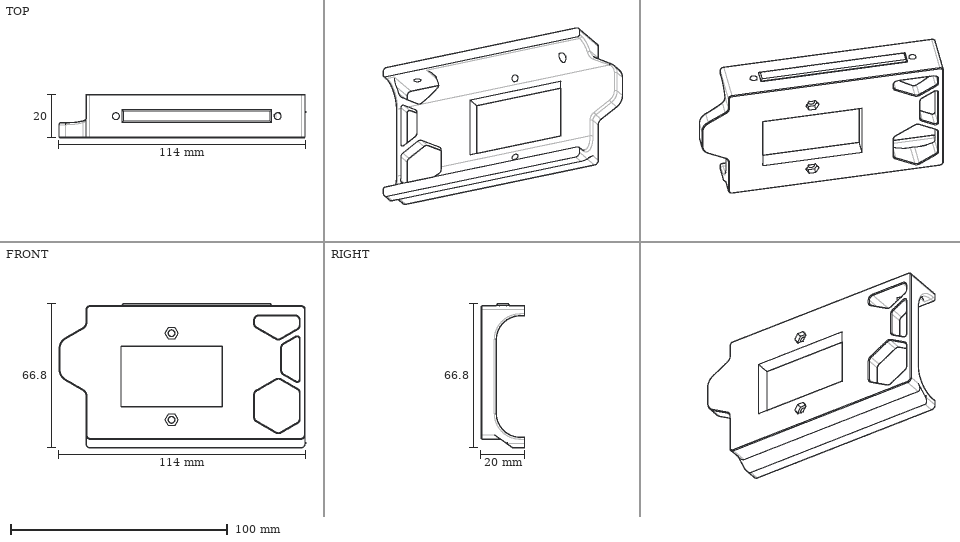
import cadquery as cq
import math

body_width = 101.2
body_depth = 20.0
body_height = 65.7
body_middle_x = body_width / 2
corner_radius = 2.0
top_corner_radius = 1.7
front_chamfer = 0.4

plate_bottom = 4.0
slope_start_y = 9.0
slope_end_y = 14.6

plate_thickness = 7.0
channel_bottom = 5.0
channel_top = 61.0
channel_middle_z = (channel_bottom + channel_top) / 2
channel_radius = 11.0
channel_edge_radius = 1.0

cell_apothem = 11.0
cell_wall = 3.0
cell_pitch = 2 * cell_apothem + cell_wall
row_pitch = cell_pitch * math.sin(math.radians(60))
cell_column_x = 88.8
cell_rows = 3
lowest_cell_z = 19.4
cell_corner_radius = 2.0
sharp_cell_corner_radius = 1.0
border_right = 98.5
border_top = channel_top

tab_reach = 12.5
tab_apothem = cell_apothem + cell_wall
tab_middle_x = tab_apothem - tab_reach
tab_middle_z = lowest_cell_z + row_pitch
tab_corner_radius = 6.0
tab_root_radius = 3.0

window_width = 46.6
window_height = 27.8
window_middle_x = 39.5
screw_spacing = 40.0
screw_diameter = 3.0
nut_across_flats = 5.3
nut_depth = 2.5

ridge_length = 69.0
ridge_width = 6.0
ridge_height = 1.1
ridge_chamfer = 0.7
ridge_middle_x = 51.15
ridge_middle_y = 10.0
top_hole_spacing = 74.7
top_hole_diameter = 3.2

nub_diameter = 0.4
nub_height = 0.3
nub_y = 12.0
nub_z = 2.3

hexagon_sides = 6
flats_at_sides = 30
flats_above_and_below = 0
select_margin = 0.1


def hexagon_prism(x, z, apothem, depth, turn=flats_at_sides):
    """Hexagonal prism reaching back from the front face, turned about its own axis."""
    diameter = 2 * apothem / math.cos(math.pi / hexagon_sides)
    prism = cq.Workplane("XZ").polygon(hexagon_sides, diameter).extrude(-depth)
    return prism.rotate((0, 0, 0), (0, 1, 0), turn).translate((x, 0, z))


def rounded_block(start_y, bottom_z):
    """Block from start_y to the back, with its four corners rounded in the front outline."""
    depth = body_depth - start_y
    height = body_height - bottom_z
    return (
        cq.Workplane("XY")
        .box(body_width, depth, height, centered=False)
        .translate((0, start_y, bottom_z))
        .edges("|Y and <Z")
        .fillet(corner_radius)
        .edges("|Y and >Z")
        .fillet(top_corner_radius)
    )


def make_block():
    """Plate block joined to a taller lip block whose underside is trimmed by a slope."""
    slope = (slope_end_y - slope_start_y) / plate_bottom
    lip_space = (
        cq.Workplane("YZ")
        .moveTo(slope_end_y, 0)
        .lineTo(slope_end_y - slope * body_height, body_height)
        .lineTo(body_depth, body_height)
        .lineTo(body_depth, 0)
        .close()
        .extrude(body_width)
    )
    return rounded_block(0, plate_bottom).union(rounded_block(0, 0).intersect(lip_space))


def add_tab(block):
    """Join the hexagonal tab and round where it meets the left side."""
    tab = hexagon_prism(tab_middle_x, tab_middle_z, tab_apothem, body_depth)
    tab = tab.edges("|Y").edges("<X").fillet(tab_corner_radius)
    body = block.union(tab)
    tab_half_height = tab_apothem / math.cos(math.pi / hexagon_sides)
    roots = cq.selectors.BoxSelector(
        (-select_margin, 0, tab_middle_z - tab_half_height),
        (select_margin, body_depth, tab_middle_z + tab_half_height),
    )
    return body.edges("|Y").edges(roots).fillet(tab_root_radius)


def cut_channel(body):
    """Clear the space behind the plate and round the rim at both ends."""
    length = body_width + 2 * tab_reach
    straight = body_depth - plate_thickness + channel_radius
    channel = (
        cq.Workplane("XY")
        .box(length, straight, channel_top - channel_bottom)
        .translate((body_middle_x, plate_thickness + straight / 2, channel_middle_z))
        .edges("|X and <Y")
        .fillet(channel_radius)
    )
    body = body.cut(channel)
    for x_min, x_max in ((-tab_reach, 0), (body_width, body_width)):
        rim = cq.selectors.BoxSelector(
            (x_min - select_margin, plate_thickness - select_margin, channel_bottom - select_margin),
            (x_max + select_margin, body_depth + select_margin, channel_top + select_margin),
        )
        body = body.edges(rim).fillet(channel_edge_radius)
    return body


def cut_cells(body):
    """Cut the cropped honeycomb cells, with the odd row shifted half a pitch to the right."""
    border = cq.Workplane("XY").box(border_right, body_depth, border_top, centered=False)
    left_part = cq.selectors.BoxSelector(
        (0, 0, 0),
        (border_right - cell_corner_radius - select_margin, body_depth, body_height),
    )
    for row in range(cell_rows):
        staggered = row % 2 == 1
        x = cell_column_x + (cell_pitch / 2 if staggered else 0)
        z = lowest_cell_z + row * row_pitch
        cell = hexagon_prism(x, z, cell_apothem, body_depth).intersect(border)
        right_radius = sharp_cell_corner_radius if staggered else cell_corner_radius
        cell = cell.edges("|Y and >X").fillet(right_radius)
        corners = cell.edges("|Y").edges(left_part)
        body = body.cut(corners.fillet(cell_corner_radius))
    return body


def cut_window_and_screws(body):
    window = cq.Workplane("XY").box(window_width, 2 * plate_thickness, window_height)
    body = body.cut(window.translate((window_middle_x, plate_thickness, channel_middle_z)))
    for side in (-1, 1):
        z = channel_middle_z + side * screw_spacing / 2
        screw = cq.Workplane("XZ").circle(screw_diameter / 2).extrude(-body_depth)
        body = body.cut(screw.translate((window_middle_x, 0, z)))
        nut = hexagon_prism(window_middle_x, z, nut_across_flats / 2, nut_depth, flats_above_and_below)
        body = body.cut(nut)
    return body


def add_top_ridge(body):
    ridge = (
        cq.Workplane("XY")
        .box(ridge_length, ridge_width, ridge_height, centered=(True, True, False))
        .faces(">Z")
        .chamfer(ridge_chamfer)
        .translate((ridge_middle_x, ridge_middle_y, body_height))
    )
    return body.union(ridge)


def cut_top_holes(body):
    """Drill through the upper lip into the channel."""
    depth = body_height - channel_middle_z
    for side in (-1, 1):
        x = ridge_middle_x + side * top_hole_spacing / 2
        hole = cq.Workplane("XY").circle(top_hole_diameter / 2).extrude(-depth)
        body = body.cut(hole.translate((x, ridge_middle_y, body_height)))
    return body


def add_side_nub(body):
    nub = cq.Workplane("YZ").circle(nub_diameter / 2).extrude(nub_height)
    return body.union(nub.translate((body_width, nub_y, nub_z)))


result = make_block()
result = add_tab(result)
result = cut_channel(result)
result = cut_cells(result)
result = result.faces("<Y").edges().chamfer(front_chamfer)
result = cut_window_and_screws(result)
result = add_top_ridge(result)
result = cut_top_holes(result)
result = add_side_nub(result)